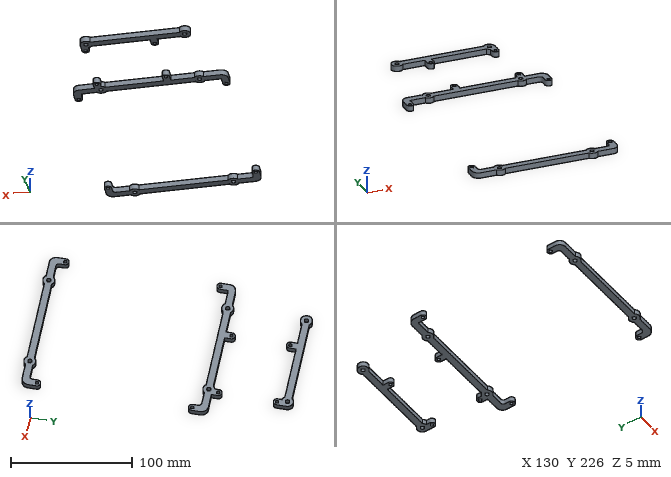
import cadquery as cq

thickness = 5.0
bar_width = 6.0
arm_width = 6.0
boss_diameter = 10.0
boss_hole_diameter = 3.5
arm_hole_diameter = 2.7
outer_corner_radius = 5.9
inner_corner_radius = 2.5

overall_length = 130.0
boss_x = 41.4
end_arm_x = (overall_length - arm_width) / 2
middle_arm_x = -14.7
side_arm_x = boss_x + boss_diameter / 2 - arm_width / 2

overall_depth = 226
rear_bar_y = overall_depth - boss_diameter
middle_bar_y = 150.0

end_arm_reach = 10.0
short_arm_reach = 8.4


def block(x_min, x_max, y_min, y_max):
    """Plate of the common thickness that fills a rectangle."""
    return (
        cq.Workplane("XY")
        .center((x_min + x_max) / 2, (y_min + y_max) / 2)
        .rect(x_max - x_min, y_max - y_min)
        .extrude(thickness)
    )


def disc(x, y, diameter):
    return cq.Workplane("XY").center(x, y).circle(diameter / 2).extrude(thickness)


def straight_bar(half_length):
    return block(-half_length, half_length, -bar_width / 2, bar_width / 2)


def add_arm(body, x, tip_y):
    """Add a round-ended arm from the bar's centreline to tip_y."""
    arm = block(x - arm_width / 2, x + arm_width / 2, min(0, tip_y), max(0, tip_y))
    return body.union(arm).union(disc(x, tip_y, arm_width))


def round_corner(body, x, y, radius):
    """Round the vertical edge that passes through (x, y)."""
    edge = cq.selectors.NearestToPointSelector((x, y, thickness / 2))
    return body.edges("|Z").edges(edge).fillet(radius)


def end_arm_bar(direction, inner_rounded_sides):
    """Bar with an arm at each end, pointing along Y in the given direction."""
    body = straight_bar(overall_length / 2)
    for side in (-1, 1):
        body = add_arm(body, side * end_arm_x, direction * end_arm_reach)
    for side in (-1, 1):
        outer_x = side * overall_length / 2
        body = round_corner(body, outer_x, -direction * bar_width / 2, outer_corner_radius)
    for side in inner_rounded_sides:
        inner_x = side * (end_arm_x - arm_width / 2)
        body = round_corner(body, inner_x, direction * bar_width / 2, inner_corner_radius)
    return body


def add_bosses(body):
    for side in (-1, 1):
        body = body.union(disc(side * boss_x, 0, boss_diameter))
    return body


def drill(body, points, diameter):
    for x, y in points:
        body = body.cut(disc(x, y, diameter))
    return body


def drill_all(body, arm_points):
    """Drill both boss holes and the holes at the arm tips."""
    body = drill(body, [(-boss_x, 0), (boss_x, 0)], boss_hole_diameter)
    return drill(body, arm_points, arm_hole_diameter)


def make_front_bar():
    body = add_bosses(end_arm_bar(direction=1, inner_rounded_sides=(-1, 1)))
    return drill_all(body, [(side * end_arm_x, end_arm_reach) for side in (-1, 1)])


def make_middle_bar():
    body = add_bosses(end_arm_bar(direction=-1, inner_rounded_sides=(1,)))
    arm_points = [(side * end_arm_x, -end_arm_reach) for side in (-1, 1)]
    for x in (middle_arm_x, side_arm_x):
        body = add_arm(body, x, short_arm_reach)
        arm_points.append((x, short_arm_reach))
    return drill_all(body, arm_points).translate((0, middle_bar_y, 0))


def make_rear_bar():
    body = add_bosses(straight_bar(boss_x))
    arm_points = [(x, -short_arm_reach) for x in (middle_arm_x, side_arm_x)]
    for x, y in arm_points:
        body = add_arm(body, x, y)
    return drill_all(body, arm_points).translate((0, rear_bar_y, 0))


front_bar = make_front_bar()
middle_bar = make_middle_bar()
rear_bar = make_rear_bar()

bars = [front_bar, middle_bar, rear_bar]
result = cq.Compound.makeCompound([bar.solids().val() for bar in bars])